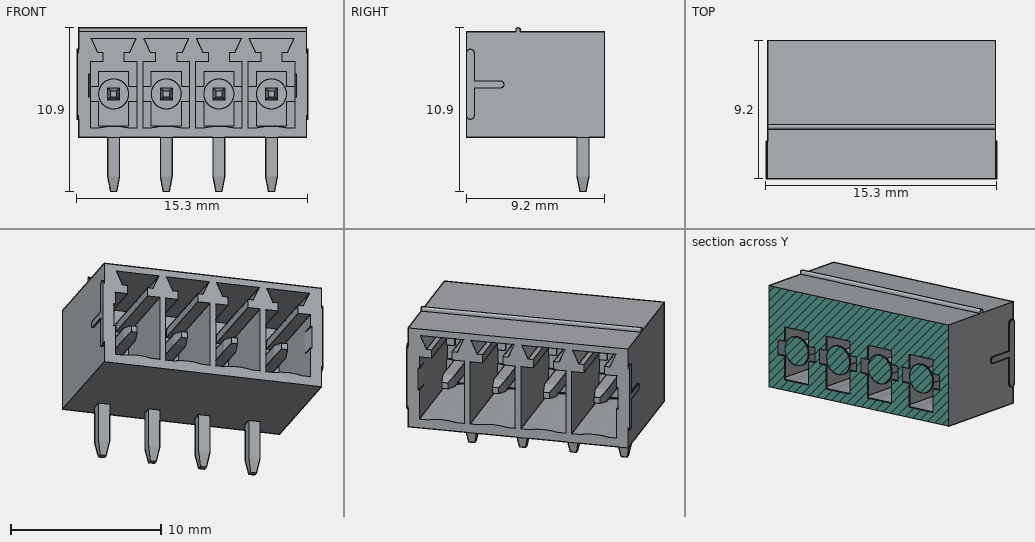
import cadquery as cq

overall_width = 15.35
key_height = 0.09
body_width = overall_width - 2 * key_height
body_depth = 9.2
body_height = 7.03

contact_count = 4
pitch = 3.5
cavity_width = 3.1
cavity_depth = 6.9
cavity_floor = 0.63
cavity_ceiling = 5.05
contact_level = 2.89

neck_width = 1.4
neck_top = 5.63
dovetail_base_width = 2.12
dovetail_top_width = 2.98
dovetail_top = 6.57

socket_diameter = 2.0
floor_bulge = 0.1

recess_depth = 0.15
recess_top = 4.37
recess_arm_height = 1.0
recess_corner_radius = 0.08

latch_height = 1.54
latch_bottom = 2.69
latch_depth = 0.1
latch_length = 1.09

pin_size = 0.8
pin_tip_size = 0.41
pin_taper = 1.0
tail_length = 3.6
tail_offset = 7.75
contact_tip_offset = 0.75

rib_width = 0.3
rib_height = 0.26
rib_offset = 3.44

key_bar_width = 0.52
key_bar_bottom = 1.2
key_bar_top = 5.86
key_leg_width = 0.45
key_leg_length = 2.5
key_leg_level = 3.52

contact_positions = [(i - (contact_count - 1) / 2) * pitch for i in range(contact_count)]


def front_plane(y):
    """XZ plane at depth y; extruding goes toward +Y and local coordinates are (X, Z)."""
    return cq.Workplane(cq.Plane(origin=(0, y, 0), xDir=(1, 0, 0), normal=(0, -1, 0)))


def extrude_back(sketch, depth):
    return sketch.extrude(-depth)


def block(x_min, x_max, y_min, y_max, z_min, z_max):
    size = (x_max - x_min, y_max - y_min, z_max - z_min)
    return cq.Workplane("XY").box(*size, centered=False).translate((x_min, y_min, z_min))


def cavity(x):
    """Cavity with its dovetail keyway and the convex strip left on its floor."""
    half = cavity_width / 2
    strip = socket_diameter / 2
    right_side = [
        (half, cavity_floor),
        (half, cavity_ceiling),
        (neck_width / 2, cavity_ceiling),
        (neck_width / 2, neck_top),
        (dovetail_base_width / 2, neck_top),
        (dovetail_top_width / 2, dovetail_top),
    ]
    left_side = [(-px, pz) for px, pz in reversed(right_side)]
    outline = (
        front_plane(0)
        .moveTo(-strip, cavity_floor)
        .threePointArc((0, cavity_floor + floor_bulge), (strip, cavity_floor))
    )
    for point in right_side + left_side:
        outline = outline.lineTo(*point)
    return extrude_back(outline.close(), cavity_depth).translate((x, 0, 0))


def back_wall_recess(x):
    """Cross-shaped recess around the round boss that carries the pin."""
    back = cavity_depth + recess_depth
    half = socket_diameter / 2
    arm = recess_arm_height / 2
    floor = cavity_floor + floor_bulge
    low, high = contact_level - arm, contact_level + arm
    upright = block(-half, half, cavity_depth, back, floor, recess_top)
    crossbar = block(-cavity_width / 2, cavity_width / 2, cavity_depth, back, low, high)
    inner_corners = cq.selectors.BoxSelector(
        (-half - recess_corner_radius, cavity_depth, low - recess_corner_radius),
        (half + recess_corner_radius, back, high + recess_corner_radius),
    )
    cross = upright.union(crossbar).edges("|Y").edges(inner_corners).fillet(recess_corner_radius)
    boss = extrude_back(front_plane(cavity_depth).center(0, contact_level).circle(half), recess_depth)
    return cross.cut(boss).translate((x, 0, 0))


def latch_pocket(side):
    wall = contact_positions[-1] + cavity_width / 2
    pocket = (
        cq.Workplane("XY", origin=(0, 0, latch_bottom))
        .polyline([(wall, 0), (wall + latch_depth, 0), (wall, latch_length)])
        .close()
        .extrude(latch_height)
    )
    return pocket if side > 0 else pocket.mirror("YZ")


def tapered_bar(length):
    """Square bar along +Z from the origin, tapering to a blunt tip."""
    shank = cq.Workplane("XY").rect(pin_size, pin_size).extrude(length - pin_taper)
    tip = (
        cq.Workplane("XY")
        .workplane(offset=length - pin_taper)
        .rect(pin_size, pin_size)
        .workplane(offset=pin_taper)
        .rect(pin_tip_size, pin_tip_size)
        .loft(ruled=True)
    )
    return shank.union(tip)


def pin(x):
    """Contact bar toward the front joined to a solder tail pointing down."""
    contact = tapered_bar(tail_offset - contact_tip_offset).rotate((0, 0, 0), (1, 0, 0), 90)
    tail = tapered_bar(tail_length + contact_level).rotate((0, 0, 0), (1, 0, 0), 180)
    return contact.union(tail).translate((x, tail_offset, contact_level))


def top_rib():
    half = rib_width / 2
    shoulder = rib_height - half
    return (
        cq.Workplane("YZ", origin=(-body_width / 2, rib_offset, body_height))
        .moveTo(-half, 0)
        .lineTo(-half, shoulder)
        .threePointArc((0, rib_height), (half, shoulder))
        .lineTo(half, 0)
        .close()
        .extrude(body_width)
    )


def end_key(side):
    """T-shaped key: a round-ended bar along the front edge and a leg toward the back."""
    bar_length = key_bar_top - key_bar_bottom
    end_face = cq.Workplane("YZ", origin=(body_width / 2, 0, 0))
    bar = (
        end_face.center(key_bar_width / 2, (key_bar_top + key_bar_bottom) / 2)
        .slot2D(bar_length, key_bar_width, 90)
        .extrude(key_height)
    )
    leg_start = key_bar_width / 2
    leg_radius = key_leg_width / 2
    leg_end = key_leg_length - leg_radius
    leg = (
        end_face.moveTo(leg_start, key_leg_level - leg_radius)
        .lineTo(leg_end, key_leg_level - leg_radius)
        .threePointArc((key_leg_length, key_leg_level), (leg_end, key_leg_level + leg_radius))
        .lineTo(leg_start, key_leg_level + leg_radius)
        .close()
        .extrude(key_height)
    )
    key = bar.union(leg)
    return key if side > 0 else key.mirror("YZ")


result = block(-body_width / 2, body_width / 2, 0, body_depth, 0, body_height).union(top_rib())
for end in (-1, 1):
    result = result.union(end_key(end)).cut(latch_pocket(end))
for position in contact_positions:
    result = result.cut(cavity(position)).cut(back_wall_recess(position)).union(pin(position))